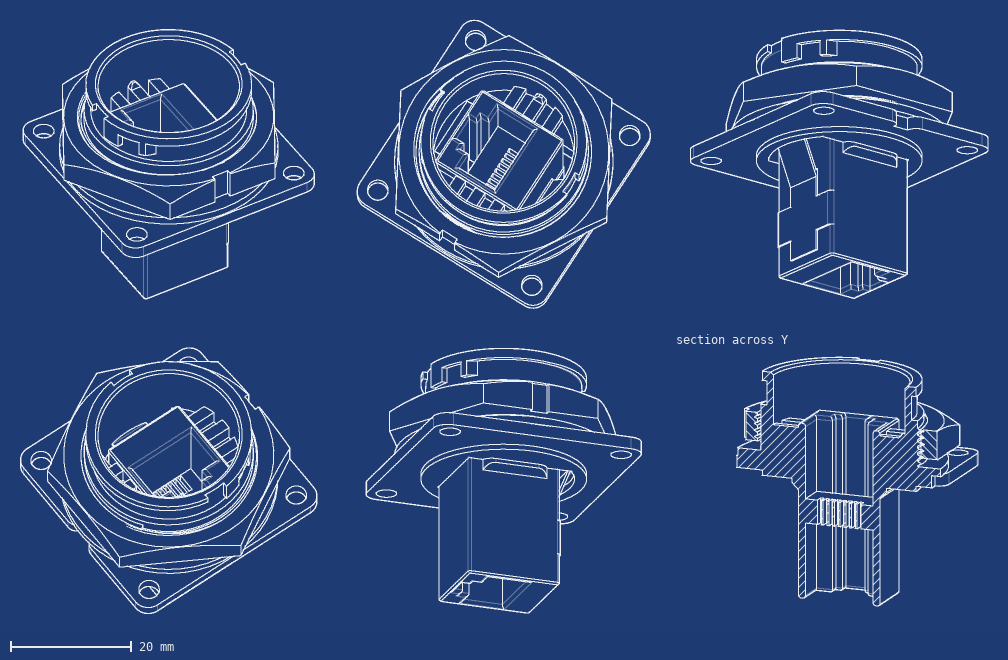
import cadquery as cq
import math


BOSS_BOTTOM = -0.9
PLATE_TOP = 2.1
FLANGE_TOP = 3.45
COLLAR_TOP = 11.35
RIM_BOTTOM = 15.35
RIM_TOP = 17.0
FLOOR_TOP = 4.85
GUIDE_RIB_TOP = 8.05
JACK_TOP = 8.85
TOTAL_HEIGHT = 38.25
JACK_BOTTOM = RIM_TOP - TOTAL_HEIGHT

RIM_RADIUS = 13.7
NECK_RADIUS = 12.9
COLLAR_RADIUS = 14.0
FLANGE_RADIUS = 18.05
BORE_RADIUS = 11.7
BORE_CHAMFER = 0.45

PLATE_SIDE = 36.55
PLATE_CORNER_RADIUS = 2.6
PLATE_HOLE_OFFSET = 15.1
PLATE_HOLE_DIAMETER = 3.4
PLATE_NOTCH_WIDTH = 2.82
PLATE_NOTCH_RADIUS = 1.77

RIM_NOTCH_HALF_WIDTH = 1.9
RIM_STOP_END_X = 5.0
LUG_BOTTOM = 12.82
LUG_OUTER_START_X = 8.5
LUG_INNER_START_X = 8.23
LUG_OUTER_END = (9.35, -10.0)
LUG_INNER_END = (9.92, -8.2)
RAMP_RISE = 0.45
RAMP_START_Y = -3.23

GUIDE_RIB_PITCH = 3.8
GUIDE_RIB_WIDTH = 1.85
KEY_START_X = -10.6
KEY_HEIGHT = 0.8
KEY_TAPER = 0.65

HOOK_WIDTH = 10.1
HOOK_DEPTH = 1.5
HOOK_HEIGHT = 0.85

JACK_WIDTH = 14.5
JACK_FRONT_Y = -8.87
JACK_BACK_Y = 7.25
JACK_CORNER_RADIUS = 0.5
JACK_END_CHAMFER = 0.32

SOCKET_DEPTH = 12.9
SOCKET_MOUTH_RADIUS = 0.55
SOCKET_HALF_WIDTH = 5.95
SOCKET_BACK_Y = 1.98
SOCKET_FRONT_Y = -4.92
TAB_HALF_WIDTH = 3.2
TAB_STEP_Y = -6.5
TONGUE_HALF_WIDTH = 2.0
TONGUE_FRONT_Y = -8.03

CONTACT_COUNT = 8
CONTACT_PITCH = 1.0
CONTACT_WIDTH = 0.6
CONTACT_LENGTH = 3.2
CONTACT_CENTRE_Y = 0.3

WEDGE_REACH = 1.15
WEDGE_SHOULDER = -1.57
WEDGE_BOTTOM = -2.75
WEDGE_BACK_Y = 4.92
WEDGE_FRONT_Y = -6.37
WEDGE_END_LENGTH = 1.85

LATCH_WIDTH = 6.85
LATCH_BOTTOM = -19.28
LATCH_INNER_TOP = -4.92
LATCH_INNER_BEND = (7.55, -5.25)
LATCH_OUTER_BEND_Z = -6.4
LATCH_CURL_OUTER = [(10.4, 0.52), (10.6, 0.73), (10.9, 0.7)]
LATCH_CURL_INNER = [(11.05, 1.05), (10.53, 1.15), (10.1, 0.8)]
LATCH_TIP_BOTTOM = 0.2
LATCH_TIP_TOP = 0.55
PAD_REACH = 0.3
PAD_BOTTOM = -15.8
PAD_TOP = -9.85

THREAD_PITCH = 1.13
THREAD_TURNS = 5.6
THREAD_START = 3.4
THREAD_CREST_RADIUS = 14.75
THREAD_ROOT_HALF_WIDTH = 0.5
THREAD_ROOT_RADIUS = COLLAR_RADIUS - 0.15

NUT_CORNER_DIAMETER = 40.35
NUT_FLATS = NUT_CORNER_DIAMETER * math.cos(math.radians(30))
NUT_BOTTOM = 4.92
NUT_TOP = 9.9
NUT_CHAMFER_RADIUS = 17.4
NUT_CHAMFER_ANGLE = math.radians(29)
NUT_BORE_RADIUS = 14.5
NUT_GROOVE_RADIUS = 15.12
NUT_GROOVE_HALF_WIDTH = 0.52
NUT_GROOVE_START = THREAD_START + THREAD_PITCH
NUT_GROOVE_TURNS = 5.3
NUT_NOTCH_DEPTH = 0.8
NUT_NOTCH_WIDTH = 2.9

EXTRA = 0.4


def disc(radius, bottom, top):
    return cq.Workplane("XY", origin=(0, 0, bottom)).circle(radius).extrude(top - bottom)


def block(x_range, y_range, z_range):
    lengths = [high - low for low, high in (x_range, y_range, z_range)]
    corner = (x_range[0], y_range[0], z_range[0])
    return cq.Workplane("XY", origin=corner).box(*lengths, centered=False)


def prism(points, bottom, top):
    return cq.Workplane("XY", origin=(0, 0, bottom)).polyline(points).close().extrude(top - bottom)


def half_turn(shape):
    return shape.rotate((0, 0, 0), (0, 0, 1), 180)


def helical_ridge(inner_radius, crest_radius, half_width, start_z, turns):
    """Right-handed triangular ridge, pointing outward, centred on the thread helix."""
    height = THREAD_PITCH * turns
    helix = cq.Wire.makeHelix(THREAD_PITCH, height, inner_radius)
    profile = [(inner_radius, -half_width), (crest_radius, 0), (inner_radius, half_width)]
    ridge = cq.Workplane("XZ").polyline(profile).close().sweep(cq.Workplane(helix), isFrenet=True)
    return ridge.translate((0, 0, start_z))



def mounting_plate():
    plate = cq.Workplane("XY").rect(PLATE_SIDE, PLATE_SIDE).extrude(PLATE_TOP)
    plate = plate.edges("|Z").fillet(PLATE_CORNER_RADIUS)
    holes = (
        cq.Workplane("XY")
        .rect(2 * PLATE_HOLE_OFFSET, 2 * PLATE_HOLE_OFFSET, forConstruction=True)
        .vertices()
        .circle(PLATE_HOLE_DIAMETER / 2)
        .extrude(PLATE_TOP)
    )
    return plate.cut(holes).cut(plate_notch())


def plate_notch():
    """Notch in the -X edge whose two mouth corners are rounded outward."""
    edge_x = -PLATE_SIDE / 2
    floor_x = edge_x + PLATE_NOTCH_RADIUS
    floor_y = PLATE_NOTCH_WIDTH / 2
    mouth_y = floor_y + PLATE_NOTCH_RADIUS
    bulge = PLATE_NOTCH_RADIUS * (1 - math.sqrt(0.5))
    return (
        cq.Workplane("XY")
        .moveTo(edge_x, -mouth_y)
        .threePointArc((edge_x + bulge, -floor_y - bulge), (floor_x, -floor_y))
        .lineTo(floor_x, floor_y)
        .threePointArc((edge_x + bulge, floor_y + bulge), (edge_x, mouth_y))
        .close()
        .extrude(PLATE_TOP)
    )


def rim_cutter():
    """Ring of space between the neck and the outside of the rim."""
    ring = disc(RIM_RADIUS + EXTRA, COLLAR_TOP, RIM_TOP + EXTRA)
    return ring.cut(disc(NECK_RADIUS, COLLAR_TOP, RIM_TOP + EXTRA))


def rim_ramp():
    """Space below the sloping lead-in of the rim, next to the -Y notch."""
    profile = [
        (RAMP_START_Y, RIM_BOTTOM),
        (-RIM_RADIUS - EXTRA, RIM_BOTTOM + RAMP_RISE),
        (-RIM_RADIUS - EXTRA, RIM_BOTTOM - EXTRA),
        (RAMP_START_Y, RIM_BOTTOM - EXTRA),
    ]
    reach = RIM_RADIUS + EXTRA
    length = reach - RIM_NOTCH_HALF_WIDTH
    return cq.Workplane("YZ", origin=(-reach, 0, 0)).polyline(profile).close().extrude(length)


def bayonet_blocks():
    """Stop beside the -Y notch and the lug further round, hanging below the rim."""
    outer_y = -RIM_RADIUS - EXTRA
    stop = block((RIM_NOTCH_HALF_WIDTH, RIM_STOP_END_X), (outer_y, 0), (LUG_BOTTOM, RIM_TOP))
    lug_inner_y = -math.sqrt(NECK_RADIUS**2 - LUG_INNER_START_X**2)
    lug_outer_y = -math.sqrt(RIM_RADIUS**2 - LUG_OUTER_START_X**2)
    lug_points = [
        (LUG_OUTER_START_X, outer_y),
        (LUG_OUTER_END[0], outer_y),
        LUG_OUTER_END,
        LUG_INNER_END,
        (LUG_INNER_START_X, LUG_INNER_END[1]),
        (LUG_INNER_START_X, lug_inner_y),
        (LUG_OUTER_START_X, lug_outer_y),
    ]
    lug = prism(lug_points, LUG_BOTTOM, RIM_TOP)
    return stop.union(lug).intersect(disc(RIM_RADIUS, LUG_BOTTOM, RIM_TOP))


def bayonet_rim():
    rim = disc(RIM_RADIUS, RIM_BOTTOM, RIM_TOP)
    notch = block(
        (-RIM_NOTCH_HALF_WIDTH, RIM_NOTCH_HALF_WIDTH),
        (-RIM_RADIUS - EXTRA, 0),
        (COLLAR_TOP, RIM_TOP + EXTRA),
    )
    removed = notch.union(rim_ramp()).intersect(rim_cutter())
    added = bayonet_blocks()
    rim = rim.cut(removed).cut(half_turn(removed))
    return rim.union(added).union(half_turn(added))


def housing_bore():
    bore = disc(BORE_RADIUS, FLOOR_TOP, RIM_TOP)
    mouth = cq.Workplane("XY", origin=(0, 0, RIM_TOP)).circle(BORE_RADIUS + BORE_CHAMFER)
    return bore.union(mouth.extrude(-BORE_CHAMFER, taper=45))


def jack_opening():
    """Floor opening as wide as the jack, running back to the bore wall."""
    opening = block(
        (-JACK_WIDTH / 2, JACK_WIDTH / 2), (JACK_FRONT_Y, BORE_RADIUS), (BOSS_BOTTOM, FLOOR_TOP)
    )
    return opening.intersect(disc(BORE_RADIUS, BOSS_BOTTOM, FLOOR_TOP))


def guide_ribs():
    """Three ribs on each side of the jack, standing on the floor up to the bore wall."""
    ribs = cq.Workplane("XY")
    for row in (-1, 0, 1):
        centre_y = row * GUIDE_RIB_PITCH
        ribs = ribs.union(
            block(
                (-BORE_RADIUS, BORE_RADIUS),
                (centre_y - GUIDE_RIB_WIDTH / 2, centre_y + GUIDE_RIB_WIDTH / 2),
                (FLOOR_TOP, GUIDE_RIB_TOP),
            )
        )
    jack_gap = block(
        (-JACK_WIDTH / 2, JACK_WIDTH / 2), (-BORE_RADIUS, BORE_RADIUS), (FLOOR_TOP, GUIDE_RIB_TOP)
    )
    return ribs.cut(jack_gap).intersect(disc(BORE_RADIUS, FLOOR_TOP, GUIDE_RIB_TOP))


def key():
    """Small key with tapered sides, on the middle rib against the bore wall at -X."""
    wall_x = -BORE_RADIUS - EXTRA
    length = KEY_START_X - wall_x
    base = cq.Workplane("XY", origin=((wall_x + KEY_START_X) / 2, 0, GUIDE_RIB_TOP))
    return (
        base.rect(length, GUIDE_RIB_WIDTH)
        .workplane(offset=KEY_HEIGHT)
        .center(-KEY_TAPER / 2, 0)
        .rect(length - KEY_TAPER, GUIDE_RIB_WIDTH - 2 * KEY_TAPER)
        .loft(ruled=True)
    )


def floor_hook():
    profile = [
        (JACK_FRONT_Y, FLOOR_TOP),
        (JACK_FRONT_Y, FLOOR_TOP + HOOK_HEIGHT),
        (JACK_FRONT_Y - HOOK_DEPTH, FLOOR_TOP),
    ]
    return cq.Workplane("YZ").polyline(profile).close().extrude(HOOK_WIDTH / 2, both=True)


def thread_flat():
    """Space outside the flat that trims the thread on the +X side down to the collar."""
    reach = THREAD_CREST_RADIUS + EXTRA
    return block((COLLAR_RADIUS, reach), (-reach, reach), (PLATE_TOP, COLLAR_TOP))


def threaded_shell():
    shell = (
        mounting_plate()
        .union(disc(RIM_RADIUS, BOSS_BOTTOM, 0))
        .union(disc(FLANGE_RADIUS, PLATE_TOP, FLANGE_TOP))
        .union(disc(COLLAR_RADIUS, FLANGE_TOP, COLLAR_TOP))
        .union(disc(NECK_RADIUS, COLLAR_TOP, RIM_TOP))
        .union(bayonet_rim())
    )
    shell = shell.cut(housing_bore()).cut(jack_opening())
    shell = shell.union(guide_ribs()).union(key()).union(floor_hook())
    thread = helical_ridge(
        THREAD_ROOT_RADIUS,
        THREAD_CREST_RADIUS,
        THREAD_ROOT_HALF_WIDTH,
        THREAD_START,
        THREAD_TURNS,
    )
    return shell.union(thread.cut(thread_flat()))



def socket_outline():
    """Plug outline with its stepped tab slot towards -Y."""
    right_side = [
        (SOCKET_HALF_WIDTH, SOCKET_BACK_Y),
        (SOCKET_HALF_WIDTH, SOCKET_FRONT_Y),
        (TAB_HALF_WIDTH, SOCKET_FRONT_Y),
        (TAB_HALF_WIDTH, TAB_STEP_Y),
        (TONGUE_HALF_WIDTH, TAB_STEP_Y),
        (TONGUE_HALF_WIDTH, TONGUE_FRONT_Y),
    ]
    return right_side + [(-x, y) for x, y in reversed(right_side)]


def jack_block():
    return block(
        (-JACK_WIDTH / 2, JACK_WIDTH / 2), (JACK_FRONT_Y, JACK_BACK_Y), (JACK_BOTTOM, JACK_TOP)
    )


def socketed_block():
    """Square-edged jack block with a round-mouthed plug socket at each end."""
    outline = socket_outline()
    top_socket = prism(outline, JACK_TOP - SOCKET_DEPTH, JACK_TOP)
    bottom_socket = prism(outline, JACK_BOTTOM, JACK_BOTTOM + SOCKET_DEPTH)
    body = jack_block().cut(top_socket).cut(bottom_socket)
    for end_face in (">Z", "<Z"):
        mouth = body.faces(end_face).val().innerWires()[0].Edges()
        body = body.newObject(mouth).fillet(SOCKET_MOUTH_RADIUS)
    return body


def tab_passage():
    """The stepped tab slot, running the whole length of the jack."""
    return prism(socket_outline()[2:-2], JACK_BOTTOM, JACK_TOP)


def contact_slots():
    slots = cq.Workplane("XY", origin=(0, CONTACT_CENTRE_Y, JACK_BOTTOM))
    slots = slots.rarray(CONTACT_PITCH, 0.4, CONTACT_COUNT, 1).rect(CONTACT_WIDTH, CONTACT_LENGTH)
    return slots.extrude(JACK_TOP - JACK_BOTTOM)


def side_wedge():
    """Retaining wedge on the +X side, under the boss, tapering downward and rounded at both ends."""
    wall_x = JACK_WIDTH / 2
    outer_x = wall_x + WEDGE_REACH
    middle_y = (WEDGE_BACK_Y + WEDGE_FRONT_Y) / 2
    half_plan = (
        cq.Workplane("XY", origin=(0, 0, WEDGE_BOTTOM))
        .moveTo(wall_x, middle_y)
        .lineTo(outer_x, middle_y)
        .lineTo(outer_x, WEDGE_BACK_Y - WEDGE_END_LENGTH)
        .tangentArcPoint((wall_x, WEDGE_BACK_Y), relative=False)
        .close()
        .extrude(BOSS_BOTTOM - WEDGE_BOTTOM)
    )
    plan = half_plan.union(half_plan.mirror("XZ", (0, middle_y, 0)))
    side = [
        (wall_x, BOSS_BOTTOM),
        (outer_x, BOSS_BOTTOM),
        (outer_x, WEDGE_SHOULDER),
        (wall_x, WEDGE_BOTTOM),
    ]
    length = WEDGE_BACK_Y - WEDGE_FRONT_Y
    slope = cq.Workplane("XZ", origin=(0, WEDGE_BACK_Y, 0)).polyline(side).close().extrude(length)
    return plan.intersect(slope)


def latch_spring():
    """Spring strip up the back of the jack, leaning out and curling over to the bore wall."""
    back_y = JACK_BACK_Y + PAD_REACH
    wall_y = BORE_RADIUS + EXTRA / 2
    strip = (
        cq.Workplane("YZ")
        .moveTo(JACK_BACK_Y, LATCH_BOTTOM)
        .lineTo(back_y, LATCH_BOTTOM)
        .lineTo(back_y, LATCH_OUTER_BEND_Z)
        .lineTo(*LATCH_CURL_OUTER[0])
        .threePointArc(*LATCH_CURL_OUTER[1:])
        .lineTo(wall_y, LATCH_TIP_BOTTOM)
        .lineTo(wall_y, LATCH_TIP_TOP)
        .lineTo(*LATCH_CURL_INNER[0])
        .threePointArc(*LATCH_CURL_INNER[1:])
        .lineTo(*LATCH_INNER_BEND)
        .lineTo(JACK_BACK_Y, LATCH_INNER_TOP)
        .close()
    )
    return strip.extrude(LATCH_WIDTH / 2, both=True)


def latch_pad():
    pad = block(
        (-JACK_WIDTH / 2, JACK_WIDTH / 2),
        (JACK_BACK_Y - 2 * JACK_CORNER_RADIUS, JACK_BACK_Y + PAD_REACH),
        (PAD_BOTTOM, PAD_TOP),
    )
    return pad.edges("|Z and >Y").fillet(JACK_CORNER_RADIUS + PAD_REACH)


def jack():
    body = jack_block().edges("|Z").fillet(JACK_CORNER_RADIUS)
    body = body.faces("<Z or >Z").chamfer(JACK_END_CHAMFER)
    body = body.intersect(socketed_block())
    body = body.cut(tab_passage()).cut(contact_slots()).union(latch_pad())
    wedge = side_wedge()
    return body.union(wedge).union(wedge.mirror("YZ")).union(latch_spring())



def hex_nut():
    height = NUT_TOP - NUT_BOTTOM
    nut = cq.Workplane("XY", origin=(0, 0, NUT_BOTTOM)).polygon(6, NUT_CORNER_DIAMETER).extrude(height)
    nut = nut.rotate((0, 0, 0), (0, 0, 1), 30)
    nut = nut.intersect(chamfer_envelope())
    notch = block(
        (NUT_FLATS / 2 - NUT_NOTCH_DEPTH, NUT_FLATS / 2 + EXTRA),
        (-NUT_NOTCH_WIDTH / 2, NUT_NOTCH_WIDTH / 2),
        (NUT_BOTTOM, NUT_TOP),
    )
    groove = helical_ridge(
        THREAD_ROOT_RADIUS,
        NUT_GROOVE_RADIUS,
        NUT_GROOVE_HALF_WIDTH,
        NUT_GROOVE_START,
        NUT_GROOVE_TURNS,
    )
    tapped_bore = disc(NUT_BORE_RADIUS, FLANGE_TOP, COLLAR_TOP).union(groove)
    return nut.cut(notch).cut(tapped_bore)


def chamfer_envelope():
    """Solid of revolution that trims the upper corners of the hexagon to a cone."""
    outer_radius = NUT_CORNER_DIAMETER / 2 + EXTRA
    drop = (outer_radius - NUT_CHAMFER_RADIUS) * math.tan(NUT_CHAMFER_ANGLE)
    profile = [
        (0, NUT_BOTTOM),
        (outer_radius, NUT_BOTTOM),
        (outer_radius, NUT_TOP - drop),
        (NUT_CHAMFER_RADIUS, NUT_TOP),
        (0, NUT_TOP),
    ]
    return cq.Workplane("XZ").polyline(profile).close().revolve(360, (0, 0, 0), (0, 1, 0))


housing = threaded_shell().union(jack())
nut = hex_nut()

result = cq.Compound.makeCompound([housing.solids().val(), nut.solids().val()])